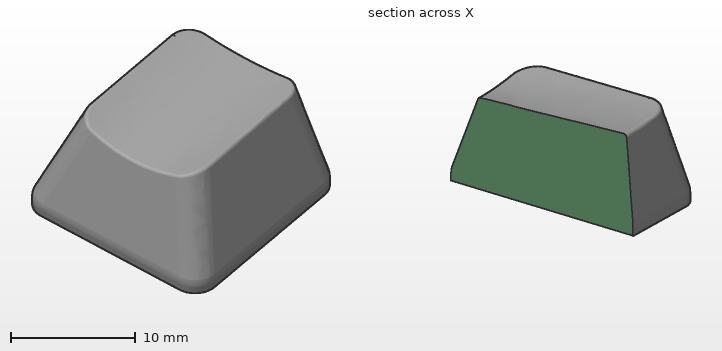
import cadquery as cq
import math

base_width = 18.16
skirt_height = 0.71
bend_top = 1.29

corner_radius = 2.0
side_angle = 20.3
front_angle = 21.3
back_angle = 4.8
blank_height = 10.0

dish_half_width = 5.8
dish_reach = 10.0
back_rim_height = 9.37
front_rim_height = 9.10
back_floor_height = 8.86
front_floor_height = 7.89
rim_fillet_radius = 0.3


def wall_inset(angle, height):
    """How far a wall of the given lean has moved in from the skirt at this height."""
    lean = math.radians(angle)
    bend_radius = (bend_top - skirt_height) / math.sin(lean)
    climb = max(height - skirt_height, 0)
    if height <= bend_top:
        return bend_radius - math.sqrt(bend_radius**2 - climb**2)
    return wall_inset(angle, bend_top) + (height - bend_top) * math.tan(lean)


def section(height):
    """Rounded rectangle around the walls at the given height."""
    half_width = base_width / 2 - wall_inset(side_angle, height)
    front = -base_width / 2 + wall_inset(front_angle, height)
    back = base_width / 2 - wall_inset(back_angle, height)
    outline = cq.Sketch().rect(2 * half_width, back - front).vertices().fillet(corner_radius)
    return outline.moved(cq.Location(cq.Vector(0, (front + back) / 2, height)))


def make_blank():
    """Skirt, curved bend and straight leaning walls, up to a flat top."""
    bend_middle = (skirt_height + bend_top) / 2
    bend_heights = (skirt_height, bend_middle, bend_top)
    skirt = cq.Workplane().placeSketch(section(0)).extrude(skirt_height)
    bend = cq.Workplane().placeSketch(*[section(height) for height in bend_heights]).loft()
    walls = cq.Workplane().placeSketch(section(bend_top), section(blank_height)).loft(ruled=True)
    return skirt.union(bend).union(walls)


def dish_profile(y, rim_height, floor_height):
    """Closed XZ profile at the given y, bounded below by the arc of the dish."""
    sag = rim_height - floor_height
    radius = (dish_half_width**2 + sag**2) / (2 * sag)
    half_span = base_width / 2
    end_height = floor_height + radius - math.sqrt(radius**2 - half_span**2)
    ceiling = 2 * blank_height
    return (
        cq.Workplane("XZ", origin=(0, y, 0))
        .moveTo(-half_span, end_height)
        .threePointArc((0, floor_height), (half_span, end_height))
        .lineTo(half_span, ceiling)
        .lineTo(-half_span, ceiling)
        .close()
        .val()
    )


def make_dish_cutter():
    """Everything above the dished top surface."""
    back = dish_profile(dish_reach, back_rim_height, back_floor_height)
    front = dish_profile(-dish_reach, front_rim_height, front_floor_height)
    return cq.Workplane(cq.Solid.makeLoft([back, front], True))


dished = make_blank().cut(make_dish_cutter())
result = dished.faces(">Z").edges().fillet(rim_fillet_radius)